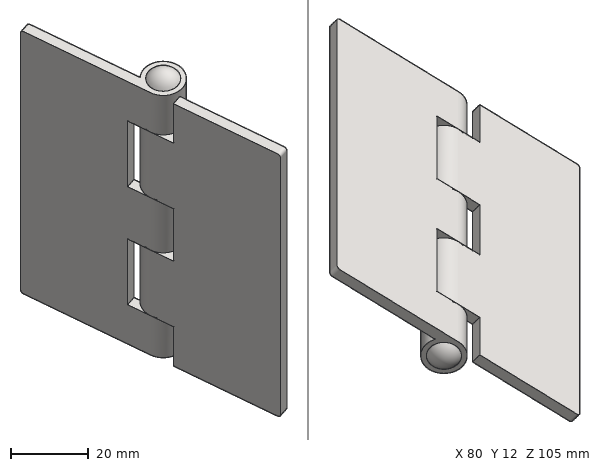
import cadquery as cq

total_length = 105.0
leaf_height = 100.0
leaf_width = 40.0
leaf_thickness = 3.0
knuckle_diameter = 12.0
pin_diameter = 9.0
end_knuckle_length = 15.0
middle_knuckle_length = 20.0
notch_clearance = 1.0
corner_radius = 1.0

knuckle_radius = knuckle_diameter / 2
pin_radius = pin_diameter / 2
half_height = leaf_height / 2
half_total = total_length / 2
notch_depth = knuckle_radius + notch_clearance
half_middle = middle_knuckle_length / 2
end_knuckle_start = half_height - end_knuckle_length

left_spans = [
    (-half_height, -end_knuckle_start),
    (-half_middle, half_middle),
    (end_knuckle_start, half_height),
]
right_spans = [
    (-end_knuckle_start, -half_middle),
    (half_middle, end_knuckle_start),
]


def make_cylinder(radius, bottom, top):
    """Cylinder about the pin axis between two heights."""
    return cq.Workplane("XY").workplane(offset=bottom).circle(radius).extrude(top - bottom)


def make_plate():
    """Flat plate from the pin axis toward -X, with rounded outer corners."""
    return (
        cq.Workplane("XY")
        .box(leaf_width, leaf_thickness, leaf_height, centered=(False, False, True))
        .translate((-leaf_width, -knuckle_radius, 0))
        .edges("<X and |Y")
        .fillet(corner_radius)
    )


def make_notch(bottom, top):
    """Clearance for one knuckle of the opposite leaf."""
    return (
        cq.Workplane("XY")
        .box(notch_depth, leaf_thickness, top - bottom, centered=False)
        .translate((-notch_depth, -knuckle_radius, bottom))
    )


def make_leaf(own_spans, opposite_spans):
    """Leaf on the -X side: plate tangent to its knuckles, bored for the pin."""
    leaf = make_plate()
    for bottom, top in opposite_spans:
        leaf = leaf.cut(make_notch(bottom, top))
    for bottom, top in own_spans:
        leaf = leaf.union(make_cylinder(knuckle_radius, bottom, top))
    return leaf.cut(make_cylinder(pin_radius, -half_height, half_height))


def make_pin():
    """Pin filling the bore, with a shallow spherical dome at each end."""
    dome_height = half_total - half_height
    dome_radius = (pin_radius**2 + dome_height**2) / (2 * dome_height)
    dome_center = half_total - dome_radius
    mid_radius = pin_radius / 2
    mid_height = dome_center + (dome_radius**2 - mid_radius**2) ** 0.5
    return (
        cq.Workplane("XZ")
        .moveTo(0, -half_total)
        .threePointArc((mid_radius, -mid_height), (pin_radius, -half_height))
        .lineTo(pin_radius, half_height)
        .threePointArc((mid_radius, mid_height), (0, half_total))
        .close()
        .revolve(360, (0, 0, 0), (0, 1, 0))
    )


left_leaf = make_leaf(left_spans, right_spans)
right_leaf = make_leaf(right_spans, left_spans).mirror("YZ")
pin = make_pin()

result = cq.Compound.makeCompound([left_leaf.solids().val(), right_leaf.solids().val(), pin.val()])